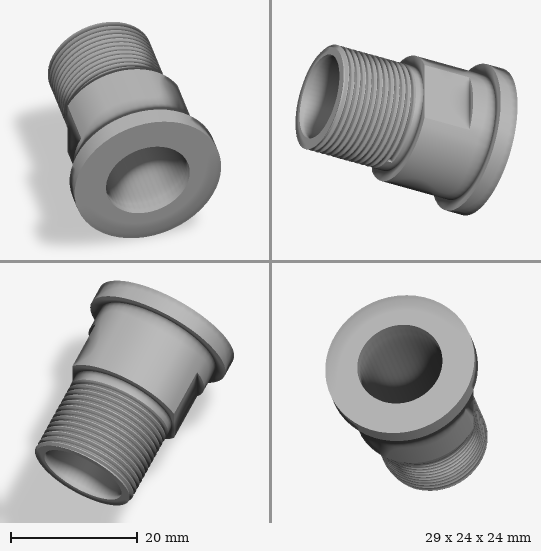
import cadquery as cq
import math

body_start = 14.0
flange_start = 26.0
total_length = 29.0

bore_diameter = 13.7
thread_diameter = 17.2
body_diameter = 20.5
flange_diameter = 24.0

flat_length = 8.0
across_flats = 18.0

pitch = 1.0
thread_turns = 13
flank_half_angle = math.radians(30)
thread_depth = 5 / 8 * pitch * math.cos(flank_half_angle)
root_flat = pitch / 4
groove_start = -pitch / 2
cutter_overshoot = 0.05


def turned_section(diameter, start, end):
    """Solid cylinder along X between two stations."""
    return cq.Workplane("YZ").workplane(offset=start).circle(diameter / 2).extrude(end - start)


def wrench_flat_cutter(side):
    """Block removing the body beyond one flat; side is +1 or -1 along Y."""
    depth = (body_diameter - across_flats) / 2
    centre_y = side * (across_flats + depth) / 2
    return cq.Workplane("XY").box(flat_length, depth, body_diameter).translate(
        (body_start + flat_length / 2, centre_y, 0)
    )


def thread_groove_cutter():
    """Helical groove that starts and ends on the -Z side of the thread."""
    root_radius = thread_diameter / 2 - thread_depth
    outer_radius = thread_diameter / 2 + cutter_overshoot
    root_half_width = root_flat / 2
    outer_half_width = root_half_width + (outer_radius - root_radius) * math.tan(flank_half_angle)
    helix = cq.Wire.makeHelix(pitch, pitch * thread_turns, root_radius)
    groove = (
        cq.Workplane("XZ")
        .moveTo(root_radius, -root_half_width)
        .lineTo(outer_radius, -outer_half_width)
        .lineTo(outer_radius, outer_half_width)
        .lineTo(root_radius, root_half_width)
        .close()
        .sweep(cq.Workplane(obj=helix), isFrenet=True)
    )
    return groove.rotate((0, 0, 0), (0, 1, 0), 90).translate((groove_start, 0, 0))


neck = turned_section(thread_diameter, 0, body_start).cut(thread_groove_cutter())

body = turned_section(body_diameter, body_start, flange_start)
for side in (1, -1):
    body = body.cut(wrench_flat_cutter(side))

flange = turned_section(flange_diameter, flange_start, total_length)
bore = turned_section(bore_diameter, 0, total_length)

result = body.union(flange).union(neck).cut(bore)